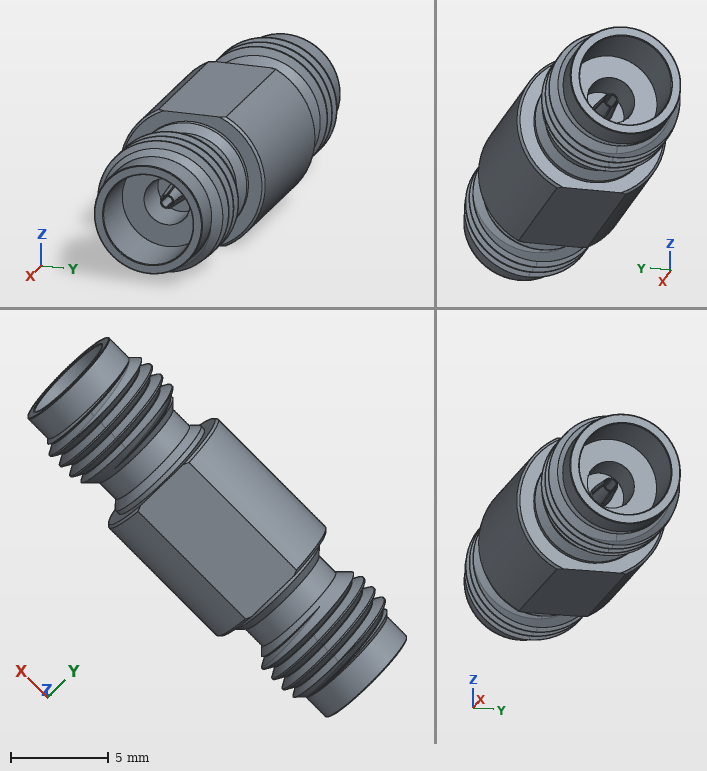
import cadquery as cq
import math

LENGTH = 21.9
HALF_LENGTH = LENGTH / 2

BARREL_LENGTH = 8.15
BARREL_DIAMETER = 7.9
BARREL_RADIUS = BARREL_DIAMETER / 2
BARREL_CHAMFER = 0.13
FLAT_SPACING = 7.0

NOSE_RADIUS = 2.93
NOSE_LENGTH = 1.5
EDGE_BREAK = 0.05
NECK_RADIUS = 2.67
NECK_START = 4.97
NECK_END = 6.2
COLLAR_RADIUS = 3.09
COLLAR_START = NECK_END + (COLLAR_RADIUS - NECK_RADIUS)
COLLAR_END = (LENGTH - BARREL_LENGTH) / 2

THREAD_DIAMETER = 6.99
THREAD_RADIUS = THREAD_DIAMETER / 2
THREAD_ROOT_RADIUS = 2.95
THREAD_ROOT_WIDTH = 0.05
THREAD_HALF_ANGLE = 30.0
THREAD_CLEARANCE = 0.055
THREAD_START = 0.9
THREAD_RUN = 4.51
THREAD_TURNS = 6
THREAD_PITCH = THREAD_RUN / THREAD_TURNS

SOCKET_RADIUS = 2.43
SOCKET_DEPTH = 3.0
BORE_RADIUS = 1.25
BORE_LENGTH = LENGTH - 2 * SOCKET_DEPTH

INSULATOR_RECESS = 2.2
INSULATOR_LENGTH = BORE_LENGTH - 2 * INSULATOR_RECESS

CONTACT_RADIUS = 0.53
CONTACT_TIP_RADIUS = 0.37
CONTACT_TAPER_LENGTH = 1.75
CONTACT_HOLE_RADIUS = 0.3
CONTACT_SLOT_WIDTH = 0.09


def rod(radius, length):
    """Cylinder along X, centred at the origin."""
    return cq.Workplane("YZ").circle(radius).extrude(length / 2, both=True)


def turned(points):
    """Solid of revolution about X from (x, radius) points."""
    return cq.Workplane("XY").polyline(points).close().revolve(360, (0, 0, 0), (1, 0, 0))


def both_ends(shape):
    """The given shape together with its copy turned half a turn about Z."""
    return shape, shape.rotate((0, 0, 0), (0, 0, 1), 180)


def barrel():
    body = rod(BARREL_RADIUS, BARREL_LENGTH).edges("%CIRCLE").chamfer(BARREL_CHAMFER)
    flats = cq.Workplane("XY").box(LENGTH, BARREL_DIAMETER, FLAT_SPACING)
    return body.intersect(flats)


def end_profile():
    """Outline of the -X end before threading, with 45 degree cones on both sides of the thread."""
    thread_start = NOSE_LENGTH + (THREAD_RADIUS - NOSE_RADIUS)
    thread_end = NECK_START - (THREAD_RADIUS - NECK_RADIUS)
    steps = [
        (0, 0),
        (0, NOSE_RADIUS - EDGE_BREAK),
        (EDGE_BREAK, NOSE_RADIUS),
        (NOSE_LENGTH, NOSE_RADIUS),
        (thread_start, THREAD_RADIUS),
        (thread_end, THREAD_RADIUS),
        (NECK_START, NECK_RADIUS),
        (NECK_END, NECK_RADIUS),
        (COLLAR_START, COLLAR_RADIUS),
        (COLLAR_END, COLLAR_RADIUS),
        (COLLAR_END, 0),
    ]
    return [(place - HALF_LENGTH, radius) for place, radius in steps]


def thread_groove_turn(start):
    """Cutter for one full turn of the thread groove, beginning at -Z."""
    half_root = THREAD_ROOT_WIDTH / 2
    cutter_radius = THREAD_RADIUS + THREAD_CLEARANCE
    flank_rise = cutter_radius - THREAD_ROOT_RADIUS
    half_mouth = half_root + flank_rise * math.tan(math.radians(THREAD_HALF_ANGLE))
    section = [
        (THREAD_ROOT_RADIUS, -half_root),
        (cutter_radius, -half_mouth),
        (cutter_radius, half_mouth),
        (THREAD_ROOT_RADIUS, half_root),
    ]
    helix = cq.Wire.makeHelix(THREAD_PITCH, THREAD_PITCH, THREAD_ROOT_RADIUS)
    turn = cq.Workplane("XZ").polyline(section).close().sweep(cq.Workplane(helix), isFrenet=True)
    turn = turn.rotate((0, 0, 0), (0, 1, 0), 90)
    return turn.translate((start - HALF_LENGTH, 0, 0))


def threaded_end():
    body = turned(end_profile())
    for index in range(THREAD_TURNS):
        body = body.cut(thread_groove_turn(THREAD_START + index * THREAD_PITCH), clean=False)
    return body


def socket():
    """Cavity of the -X end, with its mouth edge broken."""
    points = [
        (0, 0),
        (0, SOCKET_RADIUS + EDGE_BREAK),
        (EDGE_BREAK, SOCKET_RADIUS),
        (SOCKET_DEPTH, SOCKET_RADIUS),
        (SOCKET_DEPTH, 0),
    ]
    return turned([(place - HALF_LENGTH, radius) for place, radius in points])


def make_housing():
    body = barrel()
    for end in both_ends(threaded_end()):
        body = body.union(end, clean=False)
    for cavity in both_ends(socket()):
        body = body.cut(cavity, clean=False)
    return body.cut(rod(BORE_RADIUS, BORE_LENGTH), clean=False)


def make_insulator():
    return rod(BORE_RADIUS, INSULATOR_LENGTH).cut(rod(CONTACT_RADIUS, INSULATOR_LENGTH))


def contact_blank():
    """Solid contact with a slight taper down to each tip."""
    tip = BORE_LENGTH / 2
    shoulder = tip - CONTACT_TAPER_LENGTH
    points = [
        (-tip, 0),
        (-tip, CONTACT_TIP_RADIUS),
        (-shoulder, CONTACT_RADIUS),
        (shoulder, CONTACT_RADIUS),
        (tip, CONTACT_TIP_RADIUS),
        (tip, 0),
    ]
    return turned(points)


def contact_cavity():
    """Blind hole and two crossing slots in the -X tip of the contact, as deep as its taper is long."""
    hole = rod(CONTACT_HOLE_RADIUS, CONTACT_TAPER_LENGTH)
    slot = cq.Workplane("XY").box(CONTACT_TAPER_LENGTH, CONTACT_SLOT_WIDTH, 2 * CONTACT_RADIUS)
    crossing_slot = slot.rotate((0, 0, 0), (1, 0, 0), 90)
    cavity = hole.union(slot).union(crossing_slot)
    return cavity.translate(((CONTACT_TAPER_LENGTH - BORE_LENGTH) / 2, 0, 0))


def make_contact():
    body = contact_blank()
    for cavity in both_ends(contact_cavity()):
        body = body.cut(cavity)
    return body


housing = make_housing()
insulator = make_insulator()
contact = make_contact()

result = cq.Compound.makeCompound([housing.val(), insulator.val(), contact.val()])